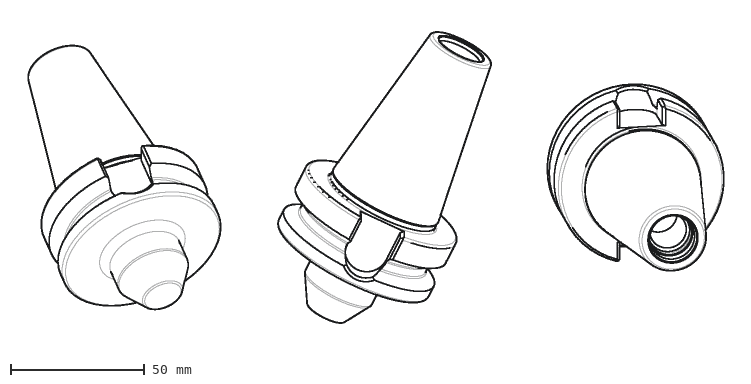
import cadquery as cq
import math


GAUGE_RADIUS = 44.45 / 2
TAPER_HALF_SLOPE = 7 / 48
TAPER_LENGTH = 65.4
TAPER_END_ROUND = 1.0
TAPER_LAND_X = -1.2
RELIEF_START_X = -0.7
RELIEF_RADIUS = 21.85
RELIEF_FILLET = 0.8

FLANGE_RADIUS = 63 / 2
FLANGE_FRONT_X = 2.0
FLANGE_BACK_X = 27.0
FLANGE_EDGE_ROUND = 1.0
GROOVE_CENTRE_X = 16.6
GROOVE_MOUTH_WIDTH = 10.0
GROOVE_FLOOR_RADIUS = 26.3
GROOVE_WALL_ANGLE = 30
GROOVE_FLOOR_FILLET = 0.8

NOSE_RADIUS = 14.0
NOSE_ROOT_FILLET = 3.0
NOSE_CONE_X = 39.2
NOSE_CONE_ANGLE = 30
NOSE_CONE_BLEND = 1.5
NOSE_END_X = 50.0
NOSE_END_ROUND = 0.9

SLOT_WIDTH = 16.1
SLOT_FLOOR_Z = 22.5
SLOT_TIP_X = 23.1
SLOT_CHAMFER = 1.1

MOUTH_RADIUS = 19 / 2
MOUTH_CHAMFER = 0.35
PILOT_RADIUS = 17 / 2
PILOT_CONE_DEPTH = 1.7
PILOT_DEPTH = 5.8
COUNTERBORE_RADIUS = 16.4 / 2
COUNTERBORE_DEPTH = 8.5
THREAD_RADIUS = 16 / 2
THREAD_START_DEPTH = 9.4
CORE_RADIUS = 13.835 / 2
CORE_DEPTH = 30.0
DRILL_HALF_ANGLE = 60

TOLERANCE = 0.01


def revolve_about_x(outline):
    """Close a half-section drawn down to the X axis and spin it into a solid."""
    return outline.close().revolve(360, (0, 0, 0), (1, 0, 0))


def round_circle(body, x, radius, fillet_radius):
    """Fillet the circular edges of the given radius lying in the plane at x."""

    def matches(edge):
        if edge.geomType() != "CIRCLE":
            return False
        return abs(edge.Center().x - x) < TOLERANCE and abs(edge.radius() - radius) < TOLERANCE

    edges = [edge for edge in body.edges().vals() if matches(edge)]
    return body.newObject(edges).fillet(fillet_radius)


def turned_body():
    taper_end_x = -TAPER_LENGTH
    taper_end_radius = GAUGE_RADIUS - TAPER_HALF_SLOPE * TAPER_LENGTH
    land_radius = GAUGE_RADIUS + TAPER_HALF_SLOPE * TAPER_LAND_X
    groove_depth = FLANGE_RADIUS - GROOVE_FLOOR_RADIUS
    wall_run = groove_depth * math.tan(math.radians(GROOVE_WALL_ANGLE))
    groove_half = GROOVE_MOUTH_WIDTH / 2
    floor_half = groove_half - wall_run
    cone_run = NOSE_END_X - NOSE_CONE_X
    nose_end_radius = NOSE_RADIUS - cone_run * math.tan(math.radians(NOSE_CONE_ANGLE))

    half_section = [
        (taper_end_x, 0),
        (taper_end_x, taper_end_radius),
        (TAPER_LAND_X, land_radius),
        (RELIEF_START_X, RELIEF_RADIUS),
        (FLANGE_FRONT_X, RELIEF_RADIUS),
        (FLANGE_FRONT_X, FLANGE_RADIUS),
        (GROOVE_CENTRE_X - groove_half, FLANGE_RADIUS),
        (GROOVE_CENTRE_X - floor_half, GROOVE_FLOOR_RADIUS),
        (GROOVE_CENTRE_X + floor_half, GROOVE_FLOOR_RADIUS),
        (GROOVE_CENTRE_X + groove_half, FLANGE_RADIUS),
        (FLANGE_BACK_X, FLANGE_RADIUS),
        (FLANGE_BACK_X, NOSE_RADIUS),
        (NOSE_CONE_X, NOSE_RADIUS),
        (NOSE_END_X, nose_end_radius),
        (NOSE_END_X, 0),
    ]
    body = revolve_about_x(cq.Workplane("XY").polyline(half_section))
    rounded_circles = [
        (taper_end_x, taper_end_radius, TAPER_END_ROUND),
        (FLANGE_FRONT_X, RELIEF_RADIUS, RELIEF_FILLET),
        (GROOVE_CENTRE_X - floor_half, GROOVE_FLOOR_RADIUS, GROOVE_FLOOR_FILLET),
        (GROOVE_CENTRE_X + floor_half, GROOVE_FLOOR_RADIUS, GROOVE_FLOOR_FILLET),
        (FLANGE_BACK_X, FLANGE_RADIUS, FLANGE_EDGE_ROUND),
        (FLANGE_BACK_X, NOSE_RADIUS, NOSE_ROOT_FILLET),
        (NOSE_CONE_X, NOSE_RADIUS, NOSE_CONE_BLEND),
        (NOSE_END_X, nose_end_radius, NOSE_END_ROUND),
    ]
    for x, radius, fillet_radius in rounded_circles:
        body = round_circle(body, x, radius, fillet_radius)
    return body


def drive_slot():
    """Round-ended slot, open toward the taper, above the floor on the +Z side."""
    half_width = SLOT_WIDTH / 2
    arc_centre_x = SLOT_TIP_X - half_width
    return (
        cq.Workplane("XY", origin=(0, 0, SLOT_FLOOR_Z))
        .moveTo(0, -half_width)
        .lineTo(arc_centre_x, -half_width)
        .threePointArc((SLOT_TIP_X, 0), (arc_centre_x, half_width))
        .lineTo(0, half_width)
        .close()
        .extrude(FLANGE_RADIUS)
    )


def is_slot_rim(edge):
    """Slot edges on the flange cylinder, and upright slot edges on the flange front face."""
    reach = SLOT_WIDTH / 2 + TOLERANCE
    points = [edge.positionAt(t) for t in (0, 0.5, 1)]
    inside_slot = all(abs(p.y) < reach and p.x < SLOT_TIP_X + TOLERANCE for p in points)
    on_cylinder = all(abs(math.hypot(p.y, p.z) - FLANGE_RADIUS) < TOLERANCE for p in points)
    on_front = all(abs(p.x - FLANGE_FRONT_X) < TOLERANCE for p in points)
    on_side_wall = all(abs(abs(p.y) - SLOT_WIDTH / 2) < TOLERANCE for p in points)
    return inside_slot and (on_cylinder or (on_front and on_side_wall))


def cut_drive_slots(body):
    slot = drive_slot()
    body = body.cut(slot).cut(slot.mirror("XY"))
    rims = [edge for edge in body.edges().vals() if is_slot_rim(edge)]
    return body.newObject(rims).chamfer(SLOT_CHAMFER)


def draw_bar_bore():
    """Blind stepped bore whose mouth chamfer, pilot step and thread lead-in are 45-degree cones."""
    cone_length = CORE_RADIUS / math.tan(math.radians(DRILL_HALF_ANGLE))
    pilot_step = PILOT_RADIUS - COUNTERBORE_RADIUS
    thread_lead = THREAD_RADIUS - CORE_RADIUS
    half_section = [
        (0, 0),
        (0, MOUTH_RADIUS),
        (MOUTH_CHAMFER, MOUTH_RADIUS - MOUTH_CHAMFER),
        (PILOT_CONE_DEPTH, PILOT_RADIUS),
        (PILOT_DEPTH, PILOT_RADIUS),
        (PILOT_DEPTH + pilot_step, COUNTERBORE_RADIUS),
        (COUNTERBORE_DEPTH, COUNTERBORE_RADIUS),
        (THREAD_START_DEPTH, THREAD_RADIUS),
        (THREAD_START_DEPTH + thread_lead, CORE_RADIUS),
        (CORE_DEPTH, CORE_RADIUS),
        (CORE_DEPTH + cone_length, 0),
    ]
    small_end = cq.Workplane("XY", origin=(-TAPER_LENGTH, 0, 0))
    return revolve_about_x(small_end.polyline(half_section))


body = cut_drive_slots(turned_body())
body = round_circle(body, FLANGE_FRONT_X, FLANGE_RADIUS, FLANGE_EDGE_ROUND)
result = body.cut(draw_bar_bore())